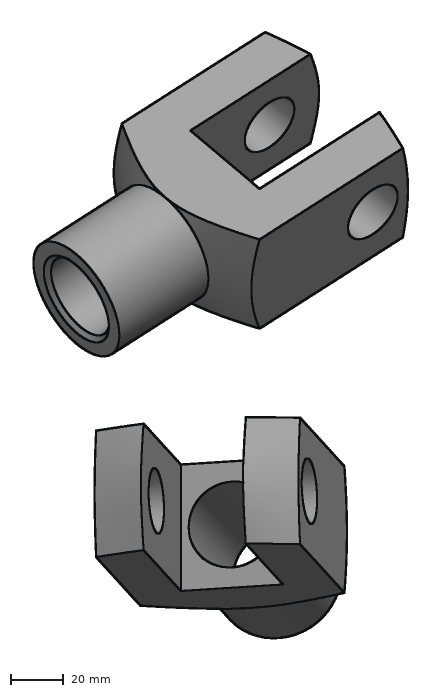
import cadquery as cq
import math

length = 140.0
width = 80.0
thickness = 50.0

shank_diameter = thickness
shank_length = 45.0
shoulder_angle = 30.0

slot_width = 40.0
slot_floor = 75.0
tip_angle = 20.0

bore_diameter = 33.9
bore_chamfer = 2.0
pin_diameter = 25.0
pin_to_tip = 25.0

turned_radius = math.hypot(width, thickness) / 2 + 1.4


def turned_envelope():
    """Solid of revolution about Y that gives the shank, shoulder and tip cones."""
    shank_radius = shank_diameter / 2
    flat_radius = slot_width / 2
    shoulder_rise = (turned_radius - shank_radius) * math.tan(math.radians(shoulder_angle))
    tip_drop = (turned_radius - flat_radius) * math.tan(math.radians(tip_angle))
    return (
        cq.Workplane("XY")
        .moveTo(0, 0)
        .lineTo(shank_radius, 0)
        .lineTo(shank_radius, shank_length)
        .lineTo(turned_radius, shank_length + shoulder_rise)
        .lineTo(turned_radius, length - tip_drop)
        .lineTo(flat_radius, length)
        .lineTo(0, length)
        .close()
        .revolve(360, (0, 0, 0), (0, 1, 0))
    )


def fork_slot():
    """Gap between the prongs, open at the tips."""
    return (
        cq.Workplane("XY")
        .box(slot_width, length - slot_floor, thickness, centered=(True, False, True))
        .translate((0, slot_floor, 0))
    )


def shank_bore():
    """Bore from the shank end into the slot, with a 45 degree entry chamfer."""
    bore_radius = bore_diameter / 2
    return (
        cq.Workplane("XY")
        .moveTo(0, 0)
        .lineTo(bore_radius + bore_chamfer, 0)
        .lineTo(bore_radius, bore_chamfer)
        .lineTo(bore_radius, slot_floor)
        .lineTo(0, slot_floor)
        .close()
        .revolve(360, (0, 0, 0), (0, 1, 0))
    )


def pin_hole():
    """Cross hole along X through both prongs."""
    return (
        cq.Workplane("YZ")
        .center(length - pin_to_tip, 0)
        .circle(pin_diameter / 2)
        .extrude(width / 2, both=True)
    )


block = cq.Workplane("XY").box(width, length, thickness, centered=(True, False, True))
result = block.intersect(turned_envelope()).cut(fork_slot()).cut(shank_bore()).cut(pin_hole())